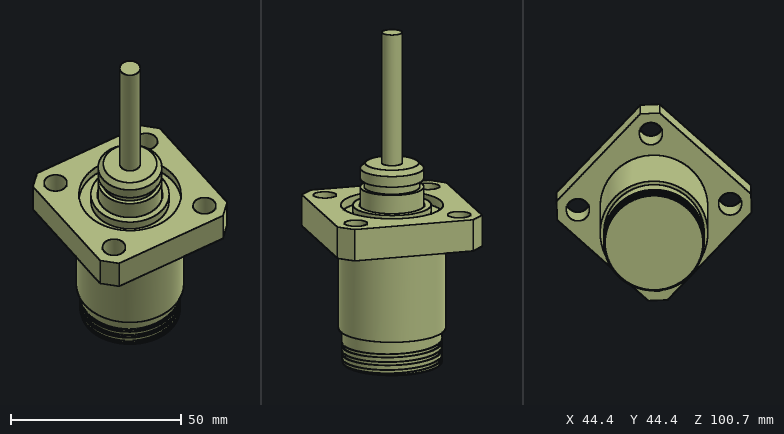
import cadquery as cq

TOTAL_HEIGHT = 100.7
SHOULDER_Z = 10.6
FLANGE_BOTTOM_Z = 38.5
FLANGE_THICKNESS = 9.6
FLANGE_TOP_Z = FLANGE_BOTTOM_Z + FLANGE_THICKNESS
GROOVE_BOTTOM_Z = 53.6
GROOVE_TOP_Z = 56.1
GLAND_TOP_Z = 60.8

FLANGE_WIDTH = 44.4
CORNER_CUT = 4.0
HOLE_SPACING = 31.6
HOLE_DIAMETER = 6.7

RING_OUTER_DIAMETER = 30.0
RING_INNER_DIAMETER = 23.0
RING_DEPTH = 2.8
GLAND_GAP = 0.2

BODY_DIAMETER = 31.6
NECK_DIAMETER = 29.5
NECK_CHAMFER = 0.4
GLAND_DIAMETER = 18.7
GLAND_GROOVE_DIAMETER = 16.3
GLAND_CHAMFER = 1.5
CABLE_DIAMETER = 6.0

THREAD_PITCH = 2.4
THREAD_DEPTH = 0.3
THREAD_WIDTH = 1.0
THREAD_START_Z = -1.0
THREAD_TURNS = 3.2
CUTTER_OVERLAP = 0.5


def cylinder(diameter, bottom, top):
    """Solid cylinder on the Z axis between two heights."""
    return cq.Workplane("XY").workplane(offset=bottom).circle(diameter / 2).extrude(top - bottom)


def tube(outer_diameter, inner_diameter, bottom, top):
    """Hollow cylinder on the Z axis between two heights."""
    return cylinder(outer_diameter, bottom, top).cut(cylinder(inner_diameter, bottom, top))


def make_flange():
    """Square plate with cut corners, corner holes and a ring groove and gap in its top."""
    plate = (
        cq.Workplane("XY")
        .workplane(offset=FLANGE_BOTTOM_Z)
        .rect(FLANGE_WIDTH, FLANGE_WIDTH)
        .extrude(FLANGE_THICKNESS)
        .edges("|Z")
        .chamfer(CORNER_CUT)
    )
    holed = (
        plate.faces(">Z")
        .workplane()
        .rect(HOLE_SPACING, HOLE_SPACING, forConstruction=True)
        .vertices()
        .hole(HOLE_DIAMETER)
    )
    ring_bottom_z = FLANGE_TOP_Z - RING_DEPTH
    ring = tube(RING_OUTER_DIAMETER, RING_INNER_DIAMETER, ring_bottom_z, FLANGE_TOP_Z)
    gap = tube(GLAND_DIAMETER + 2 * GLAND_GAP, GLAND_DIAMETER, ring_bottom_z, FLANGE_TOP_Z)
    return holed.cut(ring).cut(gap)


def make_thread_cutter():
    """Rectangular section swept along a helix, starting below the neck end."""
    root_radius = NECK_DIAMETER / 2 - THREAD_DEPTH
    helix = cq.Wire.makeHelix(THREAD_PITCH, THREAD_PITCH * THREAD_TURNS, root_radius)
    section_width = THREAD_DEPTH + CUTTER_OVERLAP
    cutter = (
        cq.Workplane("XZ")
        .center(root_radius + section_width / 2, 0)
        .rect(section_width, THREAD_WIDTH)
        .sweep(cq.Workplane("XY").newObject([helix]), isFrenet=True)
    )
    return cutter.translate((0, 0, THREAD_START_Z))


def make_neck():
    """Threaded neck with a chamfered free end."""
    neck = cylinder(NECK_DIAMETER, 0, SHOULDER_Z).faces("<Z").chamfer(NECK_CHAMFER)
    return neck.cut(make_thread_cutter())


def make_gland():
    """Grooved and chamfered cable gland rising from the flange."""
    gland = cylinder(GLAND_DIAMETER, FLANGE_BOTTOM_Z, GLAND_TOP_Z).faces(">Z").chamfer(GLAND_CHAMFER)
    return gland.cut(tube(GLAND_DIAMETER, GLAND_GROOVE_DIAMETER, GROOVE_BOTTOM_Z, GROOVE_TOP_Z))


body = cylinder(BODY_DIAMETER, SHOULDER_Z, FLANGE_BOTTOM_Z)
cable = cylinder(CABLE_DIAMETER, GLAND_TOP_Z, TOTAL_HEIGHT)

result = make_flange().union(body).union(make_neck()).union(make_gland()).union(cable)